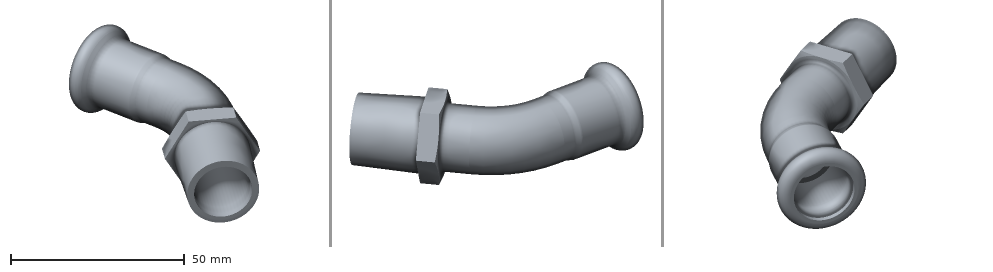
import cadquery as cq
import math

wall = 1.4
collar_radius = 13.25
collar_bulge = 3.05
sleeve_diameter = 21.0
sleeve_radius = sleeve_diameter / 2
socket_bore_radius = sleeve_radius - wall
collar_end = 7.9
collar_blend = 2.1
sleeve_end = 20.8

tube_radius = 19.8 / 2
tube_bore_radius = 16.9 / 2
tube_start = 23.2
bend_start = 26.9
bend_radius = 26.9
bend_angle = 45.0
stop_bore_radius = 14.7 / 2
reducer_blend = 0.5

outlet_length = 34.85
thread_length = 20.0
thread_base_radius = 22.3 / 2
thread_end_radius = 21.0 / 2
hex_thickness = 6.0
hex_across_flats = 24.0
hex_chamfer_angle = 15.0
hex_corner_radius = hex_across_flats / math.sqrt(3)
hex_end = outlet_length - thread_length
hex_start = hex_end - hex_thickness
neck_fillet = 0.9

collar_slope_angle = math.radians(45)
sin_slope = math.sin(collar_slope_angle)
sin_half_slope = math.sin(collar_slope_angle / 2)
cos_half_slope = math.cos(collar_slope_angle / 2)


def revolve_about_x(profile):
    return profile.close().revolve(360, (0, 0, 0), (1, 0, 0))


def collar_slope(profile, bulge, blend, end_radius):
    """Round over the collar crest, slope down at 45 degrees and blend into a cylinder."""
    center_x = collar_bulge
    center_r = collar_radius - collar_bulge
    blend_center_r = end_radius + blend
    return (
        profile
        .threePointArc(
            (center_x, center_r + bulge),
            (center_x + bulge * sin_slope, center_r + bulge * sin_slope),
        )
        .lineTo(collar_end - blend * sin_slope, blend_center_r - blend * sin_slope)
        .threePointArc(
            (collar_end - blend * sin_half_slope, blend_center_r - blend * cos_half_slope),
            (collar_end, end_radius),
        )
    )


def make_socket():
    slope = (sleeve_radius - tube_radius) / (tube_start - sleeve_end - reducer_blend)
    blend_drop = slope * reducer_blend / 2
    profile = cq.Workplane("XY").lineTo(0, collar_radius - collar_bulge)
    profile = collar_slope(profile, collar_bulge, collar_blend, sleeve_radius)
    profile = (
        profile
        .lineTo(sleeve_end, sleeve_radius)
        .tangentArcPoint((sleeve_end + reducer_blend, sleeve_radius - blend_drop), relative=False)
        .lineTo(tube_start - reducer_blend, tube_radius + blend_drop)
        .tangentArcPoint((tube_start, tube_radius), relative=False)
        .lineTo(bend_start, tube_radius)
        .lineTo(bend_start, 0)
    )
    return revolve_about_x(profile)


def make_socket_bore():
    profile = (
        cq.Workplane("XY")
        .lineTo(0, socket_bore_radius)
        .lineTo(wall, socket_bore_radius)
        .lineTo(wall, collar_radius - collar_bulge)
    )
    profile = collar_slope(profile, collar_bulge - wall, collar_blend + wall, socket_bore_radius)
    profile = (
        profile
        .lineTo(sleeve_end, socket_bore_radius)
        .lineTo(sleeve_end, stop_bore_radius)
        .lineTo(tube_start, stop_bore_radius)
        .lineTo(tube_start, tube_bore_radius)
        .lineTo(bend_start, tube_bore_radius)
        .lineTo(bend_start, 0)
    )
    return revolve_about_x(profile)


def make_bend(radius):
    return (
        cq.Workplane("YZ", origin=(bend_start, 0, 0))
        .circle(radius)
        .revolve(bend_angle, (-bend_radius, 0.8, 0), (-bend_radius, 0, 0))
    )


def make_hexagon():
    prism = (
        cq.Workplane("YZ", origin=(hex_start, 0, 0))
        .polygon(6, 2 * hex_corner_radius)
        .extrude(hex_thickness)
    )
    face_radius = hex_across_flats / 2
    chamfer_depth = (hex_corner_radius - face_radius) * math.tan(math.radians(hex_chamfer_angle))
    trimmer = revolve_about_x(
        cq.Workplane("XY")
        .moveTo(hex_start, 0)
        .lineTo(hex_start, face_radius)
        .lineTo(hex_start + chamfer_depth, hex_corner_radius)
        .lineTo(hex_end, hex_corner_radius)
        .lineTo(hex_end, 0)
    )
    return prism.intersect(trimmer)


def make_outlet():
    body = revolve_about_x(
        cq.Workplane("XY")
        .lineTo(0, tube_radius)
        .lineTo(hex_start - neck_fillet, tube_radius)
        .tangentArcPoint((hex_start, tube_radius + neck_fillet), relative=False)
        .lineTo(hex_end, thread_base_radius)
        .lineTo(outlet_length, thread_end_radius)
        .lineTo(outlet_length, 0)
    )
    return body.union(make_hexagon())


def make_outlet_bore():
    return cq.Workplane("YZ").circle(tube_bore_radius).extrude(outlet_length)


def place_outlet(shape):
    """Move a shape built along +X from the origin to the end of the bend."""
    angle = math.radians(bend_angle)
    end_x = bend_start + bend_radius * math.sin(angle)
    end_y = -bend_radius * (1 - math.cos(angle))
    return shape.rotate((0, 0, 0), (0, 0, 1), -bend_angle).translate((end_x, end_y, 0))


body = make_socket().union(make_bend(tube_radius)).union(place_outlet(make_outlet()))
bore = make_socket_bore().union(make_bend(tube_bore_radius)).union(place_outlet(make_outlet_bore()))
result = body.cut(bore)